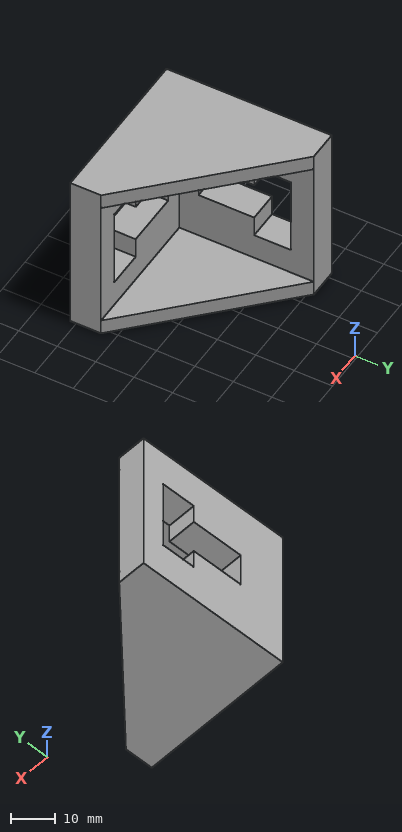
import cadquery as cq

size = 43.0
wall = 8.0
plate = 4.0

stem_start = 13.0
window_end = 37.0
head_width = 9.5
stem_height = 10.0
head_height = 21.0
head_start = window_end - head_width
middle = size / 2


def window_profile(plane):
    """T-shaped outline lying on its side, with the head away from the square corner."""
    half_stem = stem_height / 2
    half_head = head_height / 2
    lower_side = [
        (stem_start, -half_stem),
        (head_start, -half_stem),
        (head_start, -half_head),
        (window_end, -half_head),
    ]
    upper_side = [(along, -height) for along, height in reversed(lower_side)]
    points = [(along, middle + height) for along, height in lower_side + upper_side]
    return cq.Workplane(plane).polyline(points).close()


bracket = (
    cq.Workplane("XY")
    .polyline([(0, 0), (size, 0), (size, wall), (wall, size), (0, size)])
    .close()
    .extrude(size)
)

cavity = (
    cq.Workplane("XY")
    .workplane(offset=plate)
    .polyline([(wall, wall), (size, wall), (wall, size)])
    .close()
    .extrude(size - 2 * plate)
)

front_window = window_profile("XZ").extrude(-wall)
side_window = window_profile("YZ").extrude(wall)

result = bracket.cut(cavity).cut(front_window).cut(side_window)